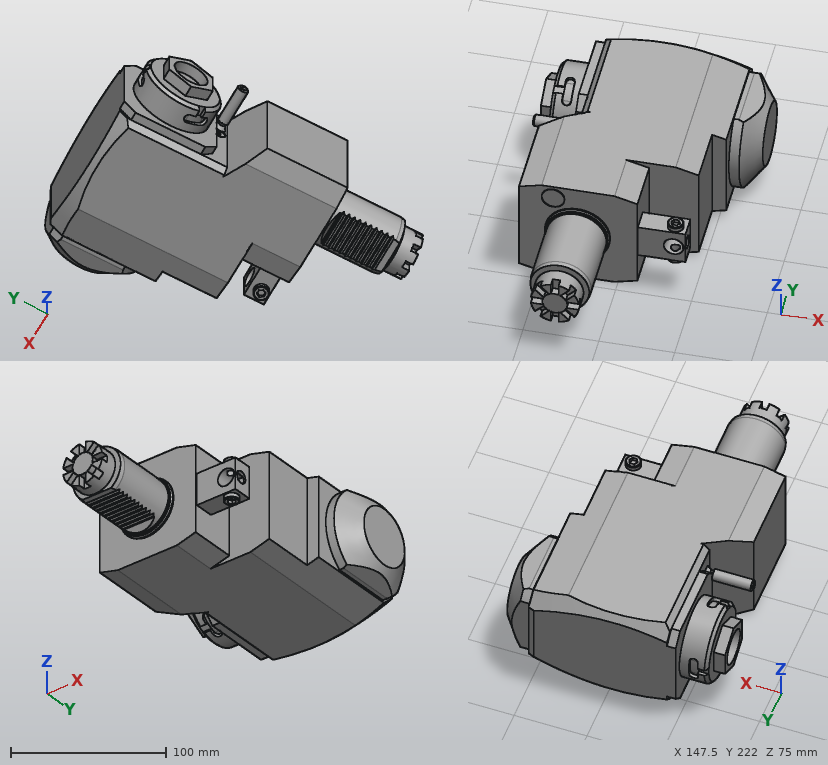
import cadquery as cq
import math


BODY_HEIGHT = 75.0
HALF_HEIGHT = BODY_HEIGHT / 2
BODY_BACK = 154.0
STEP_Y = 35.3
SHOULDER_Y = 75.0
FRONT_LEFT = -38.7
FRONT_RIGHT = 39.4
MIDDLE_RIGHT = 72.0
REAR_LEFT = -14.2
REAR_RIGHT = 81.4
FRONT_BEVEL_RUN = 15.2
LEFT_BEVEL_RUN = 14.8
REAR_LEFT_BEVEL_RUN = 4.1
RIGHT_BEVEL_X = 56.7
BEVEL_ANGLE = 15.0
STEEP_BEVEL_ANGLE = 45.0
RAMP_START_Y = 59.0
RAMP_ANGLE = 28.0
DOME_X = 23.4
DOME_Y = 17.8
DOME_RADIUS = 132.0
DOME_MAX_RADIUS = 146.5

SPINDLE_Y = 119.8
PLATE_LEFT = -20.2
PLATE_FRONT_Y = 86.2
PLATE_HALF_HEIGHT = 33.4
PLATE_CHAMFER = 8.3
RING_RADIUS = 27.5
RING_LEFT = -39.6
RING_CHAMFER = 2.3
SLOT_COUNT = 3
SLOT_RADIAL_DEPTH = 2.5
SLOT_X = -29.7
SLOT_WIDTH = 6.0
SLOT_ARC = 40.0
KEYWAY_WIDTH = 5.0
HEX_LEFT = -47.3
HEX_ACROSS_FLATS = 32.0
HEX_BORE_RADIUS = 12.1
HEX_BORE_DEPTH = 7.5

PIN_Y = 80.8
PIN_Z = 17.4
PIN_RADIUS = 3.8
PIN_LEFT = -46.8
PIN_RIGHT = -19.3
PIN_CHAMFER = 1.0
PIN_NECK_RADIUS = 2.4
PIN_FLARE_LENGTH = 3.0
PIN_FLARE_RADIUS = 4.4
PIN_SOCKET_ACROSS_FLATS = 4.5
PIN_SOCKET_DEPTH = 4.0
SIDE_PLUG_Z = 10.2
SIDE_PLUG_RADIUS = 4.5
SIDE_PLUG_HOLE_RADIUS = 1.2
FRONT_PLUG_X = -16.2
FRONT_PLUG_Z = 27.6
FRONT_PLUG_RADIUS = 7.5
PLUG_RECESS = 0.4

CAP_RADIUS = 37.3
CAP_CONE_X = 88.1
CAP_RIGHT = 100.2
CAP_TIP_RADIUS = 21.4
CAP_HALF_FLAT = 29.5
CAP_SLOPE_X = 84.8

COLLAR_RADIUS = 21.5
COLLAR_LENGTH = 2.0
COLLAR_CHAMFER = 1.0
SHANK_RADIUS = 20.0
SHANK_LENGTH = 53.0
SHANK_END_LENGTH = 3.2
SHANK_END_TAPER = 0.6
GROOVE_LENGTH = 1.3
GROOVE_DEPTH = 0.4
NECK_RADIUS = 13.0
NUT_START = 54.3
NUT_END = 68.0
NUT_RADIUS = 16.0
NUT_CORE_RADIUS = 8.2
NUT_SLOT_COUNT = 8
NUT_SLOT_WIDTH = 5.0
NUT_SLOT_DEPTH = 5.2
RACK_FLAT_Z = -15.6
RACK_START = 8.7
RACK_RAMP_RUN = 3.4
RACK_PITCH = 4.0
RACK_FIRST = 11.0
RACK_COUNT = 10
RACK_TOOTH_DEPTH = 1.2

ARM_RIGHT = 70.8
ARM_FRONT_Y = 1.3
ARM_BACK_Y = 16.0
ARM_HALF_HEIGHT = 12.1
ARM_HOLE_X = 63.0
ARM_HOLE_RADIUS = 6.5
ARM_CROSS_BORE_RADIUS = 4.5
SCREW_INSET = 6.1
SCREW_RADIUS = 5.2
SCREW_HEIGHT = 3.5
SCREW_CHAMFER = 0.6
SCREW_SOCKET_ACROSS_FLATS = 5.0
SCREW_SOCKET_DEPTH = 2.5
SCREW_BORE_RADIUS = 3.0


def box(x_range, y_range, z_range):
    size = [high - low for low, high in (x_range, y_range, z_range)]
    corner = cq.Vector(x_range[0], y_range[0], z_range[0])
    return cq.Workplane(cq.Solid.makeBox(size[0], size[1], size[2], corner))


def cylinder(radius, length, start, direction):
    return cq.Workplane(cq.Solid.makeCylinder(radius, length, cq.Vector(*start), cq.Vector(*direction)))


def hexagon_x(across_flats, x_start, x_end, y, z):
    """Hexagonal prism along X with two corners pointing up and down."""
    corner_diameter = across_flats / math.cos(math.radians(30))
    plane = cq.Plane(origin=(x_start, y, z), xDir=(0, 0, 1), normal=(1, 0, 0))
    return cq.Workplane(plane).polygon(6, corner_diameter).extrude(x_end - x_start)


def body_block(y_range, x_range, bevel_runs, bevel_angles):
    """Block along Y whose top and bottom are bevelled on the left and right sides."""
    left, right = x_range
    left_run, right_run = bevel_runs
    left_z, right_z = [
        HALF_HEIGHT - run * math.tan(math.radians(angle)) for run, angle in zip(bevel_runs, bevel_angles)
    ]
    outline = [
        (left, -left_z),
        (left, left_z),
        (left + left_run, HALF_HEIGHT),
        (right - right_run, HALF_HEIGHT),
        (right, right_z),
        (right, -right_z),
        (right - right_run, -HALF_HEIGHT),
        (left + left_run, -HALF_HEIGHT),
    ]
    plane = cq.Workplane("XZ", origin=(0, y_range[0], 0))
    return plane.polyline(outline).close().extrude(y_range[0] - y_range[1])


def make_body():
    front = body_block(
        (0, STEP_Y), (FRONT_LEFT, FRONT_RIGHT), (LEFT_BEVEL_RUN, FRONT_BEVEL_RUN), (BEVEL_ANGLE, BEVEL_ANGLE)
    )
    middle = body_block(
        (STEP_Y, SHOULDER_Y),
        (FRONT_LEFT, MIDDLE_RIGHT),
        (LEFT_BEVEL_RUN, MIDDLE_RIGHT - RIGHT_BEVEL_X),
        (BEVEL_ANGLE, BEVEL_ANGLE),
    )
    rear = body_block(
        (SHOULDER_Y, BODY_BACK),
        (REAR_LEFT, REAR_RIGHT),
        (REAR_LEFT_BEVEL_RUN, REAR_RIGHT - RIGHT_BEVEL_X),
        (STEEP_BEVEL_ANGLE, BEVEL_ANGLE),
    )
    ramp_width = (SHOULDER_Y - RAMP_START_Y) / math.tan(math.radians(RAMP_ANGLE))
    ramp_corners = [
        (FRONT_LEFT, RAMP_START_Y),
        (FRONT_LEFT + ramp_width, SHOULDER_Y),
        (FRONT_LEFT, SHOULDER_Y),
    ]
    ramp = cq.Workplane("XY").polyline(ramp_corners).close().extrude(HALF_HEIGHT, both=True)
    return front.union(middle.cut(ramp)).union(rear).intersect(make_dome())


def make_dome():
    """Double cone about a vertical axis that turns the back edges of the body."""
    rim_z = HALF_HEIGHT - (DOME_MAX_RADIUS - DOME_RADIUS)
    outline = [
        (0, -HALF_HEIGHT),
        (DOME_RADIUS, -HALF_HEIGHT),
        (DOME_MAX_RADIUS, -rim_z),
        (DOME_MAX_RADIUS, rim_z),
        (DOME_RADIUS, HALF_HEIGHT),
        (0, HALF_HEIGHT),
    ]
    plane = cq.Workplane("XZ", origin=(DOME_X, DOME_Y, 0))
    return plane.polyline(outline).close().revolve(360, (0, 0), (0, 1))


def make_plate():
    plate = box((PLATE_LEFT, REAR_LEFT), (PLATE_FRONT_Y, BODY_BACK), (-PLATE_HALF_HEIGHT, PLATE_HALF_HEIGHT))
    return plate.edges("|X").chamfer(PLATE_CHAMFER)


def make_ring():
    """Clamping ring with three T-shaped slots in its rim."""
    axis_start = (RING_LEFT, SPINDLE_Y, 0)
    ring = cylinder(RING_RADIUS, PLATE_LEFT - RING_LEFT, axis_start, (1, 0, 0))
    ring = ring.faces("<X").edges().chamfer(RING_CHAMFER)
    for index in range(SLOT_COUNT):
        angle = 360 / SLOT_COUNT * index
        slot = make_ring_slot().rotate((0, SPINDLE_Y, 0), (1, SPINDLE_Y, 0), angle)
        ring = ring.cut(slot)
    return ring


def make_ring_slot():
    """Cutter for one slot on the +Y side: a curved slot with round ends and a keyway from the ring face."""
    floor_radius = RING_RADIUS - SLOT_RADIAL_DEPTH
    outer_radius = RING_RADIUS + SLOT_RADIAL_DEPTH
    end_angle = SLOT_ARC / 2 - math.degrees(SLOT_WIDTH / 2 / RING_RADIUS)
    axis = ((0, SPINDLE_Y, 0), (1, SPINDLE_Y, 0))
    band_outline = cq.Workplane("XY").moveTo(SLOT_X, SPINDLE_Y + RING_RADIUS)
    band_outline = band_outline.rect(SLOT_WIDTH, outer_radius - floor_radius)
    cutter = band_outline.revolve(2 * end_angle, (0, SPINDLE_Y), (1, SPINDLE_Y)).rotate(*axis, -end_angle)
    slot_end = cylinder(
        SLOT_WIDTH / 2, outer_radius - floor_radius, (SLOT_X, SPINDLE_Y + floor_radius, 0), (0, 1, 0)
    )
    for angle in (-end_angle, end_angle):
        cutter = cutter.union(slot_end.rotate(*axis, angle))
    keyway = box(
        (RING_LEFT, SLOT_X),
        (SPINDLE_Y + floor_radius, SPINDLE_Y + outer_radius),
        (-KEYWAY_WIDTH / 2, KEYWAY_WIDTH / 2),
    )
    return cutter.union(keyway)


def make_hex():
    hexagon = hexagon_x(HEX_ACROSS_FLATS, HEX_LEFT, RING_LEFT, SPINDLE_Y, 0)
    return hexagon.cut(cylinder(HEX_BORE_RADIUS, HEX_BORE_DEPTH, (HEX_LEFT, SPINDLE_Y, 0), (1, 0, 0)))


def make_pin():
    """Nozzle pin with a socket in its end, a thin neck and a flared foot on the body."""
    pin = cylinder(PIN_RADIUS, PIN_RIGHT - PIN_LEFT, (PIN_LEFT, PIN_Y, PIN_Z), (1, 0, 0))
    pin = pin.faces("<X").edges().chamfer(PIN_CHAMFER)
    neck = cylinder(PIN_NECK_RADIUS, REAR_LEFT - PIN_RIGHT, (PIN_RIGHT, PIN_Y, PIN_Z), (1, 0, 0))
    flare_start = cq.Vector(REAR_LEFT - PIN_FLARE_LENGTH, PIN_Y, PIN_Z)
    flare = cq.Solid.makeCone(
        PIN_NECK_RADIUS, PIN_FLARE_RADIUS, PIN_FLARE_LENGTH, flare_start, cq.Vector(1, 0, 0)
    )
    socket = hexagon_x(PIN_SOCKET_ACROSS_FLATS, PIN_LEFT, PIN_LEFT + PIN_SOCKET_DEPTH, PIN_Y, PIN_Z)
    return pin.union(neck).union(cq.Workplane(flare)).cut(socket)


def make_plug_recesses():
    """Shallow circular recesses left by the two closing plugs."""
    front = cylinder(FRONT_PLUG_RADIUS, PLUG_RECESS, (FRONT_PLUG_X, 0, FRONT_PLUG_Z), (0, 1, 0))
    side_start = (REAR_LEFT, PIN_Y, SIDE_PLUG_Z)
    side = cylinder(SIDE_PLUG_RADIUS, PLUG_RECESS, side_start, (1, 0, 0))
    side_hole = cylinder(SIDE_PLUG_HOLE_RADIUS, 2 * PLUG_RECESS, side_start, (1, 0, 0))
    return front.union(side).union(side_hole)


def make_cap():
    """Turned cap with a conical end, flattened at the back, top and bottom."""
    outline = [
        (REAR_RIGHT, 0),
        (REAR_RIGHT, CAP_RADIUS),
        (CAP_CONE_X, CAP_RADIUS),
        (CAP_RIGHT, CAP_TIP_RADIUS),
        (CAP_RIGHT, 0),
    ]
    plane = cq.Workplane("XY", origin=(0, SPINDLE_Y, 0))
    cap = plane.polyline(outline).close().revolve(360, (0, 0), (1, 0))
    end_z = CAP_HALF_FLAT - (CAP_RIGHT - CAP_SLOPE_X) * math.tan(math.radians(BEVEL_ANGLE))
    flats = [
        (REAR_RIGHT, -CAP_HALF_FLAT),
        (REAR_RIGHT, CAP_HALF_FLAT),
        (CAP_SLOPE_X, CAP_HALF_FLAT),
        (CAP_RIGHT, end_z),
        (CAP_RIGHT, -end_z),
        (CAP_SLOPE_X, -CAP_HALF_FLAT),
    ]
    back_y = SPINDLE_Y + CAP_HALF_FLAT
    front_y = SPINDLE_Y - CAP_RADIUS
    envelope = cq.Workplane("XZ", origin=(0, back_y, 0)).polyline(flats).close().extrude(back_y - front_y)
    return cap.intersect(envelope)


def make_shank():
    """Shank, neck and collet nut turned about the Y axis, with a toothed flat underneath."""
    groove_radius = SHANK_RADIUS - GROOVE_DEPTH
    groove_end = COLLAR_LENGTH + GROOVE_LENGTH
    outline = [
        (0, 0),
        (COLLAR_RADIUS, 0),
        (COLLAR_RADIUS, COLLAR_CHAMFER - COLLAR_LENGTH),
        (COLLAR_RADIUS - COLLAR_CHAMFER, -COLLAR_LENGTH),
        (groove_radius, -COLLAR_LENGTH),
        (groove_radius, -groove_end),
        (SHANK_RADIUS, -groove_end),
        (SHANK_RADIUS, -SHANK_LENGTH + SHANK_END_LENGTH),
        (SHANK_RADIUS - SHANK_END_TAPER, -SHANK_LENGTH),
        (NECK_RADIUS, -SHANK_LENGTH),
        (NECK_RADIUS, -NUT_START),
        (NUT_RADIUS, -NUT_START),
        (NUT_RADIUS, -NUT_END),
        (0, -NUT_END),
    ]
    shank = cq.Workplane("XY").polyline(outline).close().revolve(360, (0, 0), (0, 1))
    return shank.cut(make_rack_cutter()).cut(make_nut_slots())


def make_rack_cutter():
    """Flat with a ramped start and V grooves, below the shank."""
    ramp_drop = SHANK_RADIUS + RACK_FLAT_Z
    flat_outline = [
        (-RACK_START, RACK_FLAT_Z),
        (-SHANK_LENGTH, RACK_FLAT_Z),
        (-SHANK_LENGTH, -COLLAR_RADIUS),
        (-RACK_START + RACK_RAMP_RUN, -COLLAR_RADIUS),
        (-RACK_START + RACK_RAMP_RUN, RACK_FLAT_Z - ramp_drop),
    ]
    cutter = cq.Workplane("YZ").polyline(flat_outline).close().extrude(SHANK_RADIUS, both=True)
    for index in range(RACK_COUNT):
        root_y = -RACK_FIRST - index * RACK_PITCH
        groove = [
            (root_y - RACK_TOOTH_DEPTH, RACK_FLAT_Z),
            (root_y, RACK_FLAT_Z + RACK_TOOTH_DEPTH),
            (root_y + RACK_TOOTH_DEPTH, RACK_FLAT_Z),
        ]
        cutter = cutter.union(cq.Workplane("YZ").polyline(groove).close().extrude(SHANK_RADIUS, both=True))
    return cutter


def make_nut_slots():
    slot = box(
        (0, NUT_RADIUS + NUT_SLOT_WIDTH),
        (-NUT_END, -NUT_END + NUT_SLOT_DEPTH),
        (-NUT_SLOT_WIDTH / 2, NUT_SLOT_WIDTH / 2),
    )
    slots = slot
    for index in range(1, NUT_SLOT_COUNT):
        slots = slots.union(slot.rotate((0, 0, 0), (0, 1, 0), 360 / NUT_SLOT_COUNT * index))
    return slots.cut(cylinder(NUT_CORE_RADIUS, NUT_SLOT_DEPTH, (0, -NUT_END, 0), (0, 1, 0)))


def make_arm():
    """Coolant arm with a nozzle hole, a cross bore from its end and a clamping screw above and below."""
    arm = box((FRONT_RIGHT, ARM_RIGHT), (ARM_FRONT_Y, ARM_BACK_Y), (-ARM_HALF_HEIGHT, ARM_HALF_HEIGHT))
    thickness = ARM_BACK_Y - ARM_FRONT_Y
    screw_y = ARM_FRONT_Y + SCREW_INSET
    arm = arm.cut(cylinder(ARM_HOLE_RADIUS, thickness, (ARM_HOLE_X, ARM_FRONT_Y, 0), (0, 1, 0)))
    arm = arm.cut(
        cylinder(ARM_CROSS_BORE_RADIUS, ARM_RIGHT - ARM_HOLE_X, (ARM_HOLE_X, screw_y, 0), (1, 0, 0))
    )
    screw_bore_start = (ARM_HOLE_X, screw_y, -ARM_HALF_HEIGHT)
    arm = arm.cut(cylinder(SCREW_BORE_RADIUS, 2 * ARM_HALF_HEIGHT, screw_bore_start, (0, 0, 1)))
    screw = cylinder(SCREW_RADIUS, SCREW_HEIGHT, (ARM_HOLE_X, screw_y, ARM_HALF_HEIGHT), (0, 0, 1))
    screw = screw.faces(">Z").edges().chamfer(SCREW_CHAMFER)
    screw_top = screw.faces(">Z").workplane(centerOption="CenterOfBoundBox")
    corner_diameter = SCREW_SOCKET_ACROSS_FLATS / math.cos(math.radians(30))
    screw = screw_top.polygon(6, corner_diameter).cutBlind(-SCREW_SOCKET_DEPTH)
    return arm.union(screw).union(screw.mirror("XY"))


body = make_body().cut(make_plug_recesses())
spindle = make_plate().union(make_ring()).union(make_hex())
result = body.union(spindle).union(make_pin()).union(make_cap()).union(make_shank()).union(make_arm())